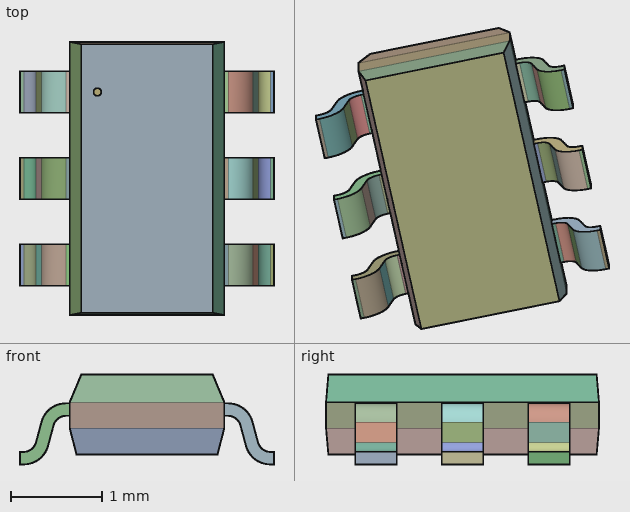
import cadquery as cq
import math


overall_width = 2.79
overall_height = 0.99

housing_width = 1.70
housing_length = 3.00
standoff = 0.11
lower_band_z = 0.40
upper_band_z = 0.684
top_side_inset = 0.128
bottom_side_inset = 0.075
end_inset = 0.026

leads_per_side = 3
lead_pitch = 0.95
lead_width = 0.46
lead_thickness = 0.14
lead_top_z = 0.674
inner_bend_radius = 0.14
outer_bend_radius = inner_bend_radius + lead_thickness
bend_angle = math.radians(75)

marker_diameter = 0.085
marker_depth = 0.02
marker_side_distance = 0.305
marker_x = -housing_width / 2 + marker_side_distance
marker_y = lead_pitch * (leads_per_side - 1) / 2


def make_taper(base_z, end_z, side_inset):
    """Solid from the full housing section at base_z to the inset section at end_z."""
    return (
        cq.Workplane("XY", origin=(0, 0, base_z))
        .rect(housing_width, housing_length)
        .workplane(offset=end_z - base_z)
        .rect(housing_width - 2 * side_inset, housing_length - 2 * end_inset)
        .loft(combine=True, ruled=True)
    )


def make_marker():
    """Thin disc whose upper face is flush with the housing top."""
    return (
        cq.Workplane("XY", origin=(marker_x, marker_y, overall_height - marker_depth))
        .circle(marker_diameter / 2)
        .extrude(marker_depth)
    )


def make_housing():
    """Straight middle band with a taper above and below, recessed for the marker."""
    band = (
        cq.Workplane("XY", origin=(0, 0, lower_band_z))
        .rect(housing_width, housing_length)
        .extrude(upper_band_z - lower_band_z)
    )
    upper_taper = make_taper(upper_band_z, overall_height, top_side_inset)
    lower_taper = make_taper(lower_band_z, standoff, bottom_side_inset)
    return band.union(upper_taper).union(lower_taper).cut(make_marker())


def point_on_arc(center, radius, angle):
    """Point at the given radius and angle (from +X toward +Z) about a bend centre."""
    return (center[0] + radius * math.cos(angle), center[1] + radius * math.sin(angle))


def make_right_lead(y_center):
    """Gull-wing lead from the +X housing side down to its foot."""
    root_x = housing_width / 2
    toe_x = overall_width / 2

    bend_radii = inner_bend_radius + outer_bend_radius
    drop = lead_top_z - lead_thickness
    leg_height = drop - bend_radii * (1 - math.cos(bend_angle))
    bends_run = bend_radii * math.sin(bend_angle) + leg_height / math.tan(bend_angle)
    flat_length = (toe_x - root_x - bends_run) / 2

    shoulder = (root_x + flat_length, lead_top_z - outer_bend_radius)
    ankle = (toe_x - flat_length, outer_bend_radius)

    up = math.pi / 2
    down = -math.pi / 2
    shoulder_mid = up - bend_angle / 2
    shoulder_end = up - bend_angle
    ankle_mid = down - bend_angle / 2
    ankle_end = down - bend_angle

    profile = (
        cq.Workplane("XZ", origin=(0, y_center + lead_width / 2, 0))
        .moveTo(root_x, lead_top_z)
        .lineTo(shoulder[0], lead_top_z)
        .threePointArc(
            point_on_arc(shoulder, outer_bend_radius, shoulder_mid),
            point_on_arc(shoulder, outer_bend_radius, shoulder_end),
        )
        .lineTo(*point_on_arc(ankle, inner_bend_radius, ankle_end))
        .threePointArc(
            point_on_arc(ankle, inner_bend_radius, ankle_mid),
            point_on_arc(ankle, inner_bend_radius, down),
        )
        .lineTo(toe_x, lead_thickness)
        .lineTo(toe_x, 0)
        .lineTo(ankle[0], 0)
        .threePointArc(
            point_on_arc(ankle, outer_bend_radius, ankle_mid),
            point_on_arc(ankle, outer_bend_radius, ankle_end),
        )
        .lineTo(*point_on_arc(shoulder, inner_bend_radius, shoulder_end))
        .threePointArc(
            point_on_arc(shoulder, inner_bend_radius, shoulder_mid),
            point_on_arc(shoulder, inner_bend_radius, up),
        )
        .lineTo(root_x, lead_top_z - lead_thickness)
        .close()
    )
    return profile.extrude(lead_width)


housing = make_housing()
marker = make_marker()

leads = []
for index in range(leads_per_side):
    lead_y = (index - (leads_per_side - 1) / 2) * lead_pitch
    right_lead = make_right_lead(lead_y)
    left_lead = right_lead.mirror("YZ")
    leads.append(right_lead.val())
    leads.append(left_lead.val())

result = cq.Compound.makeCompound([housing.val(), marker.val(), *leads])